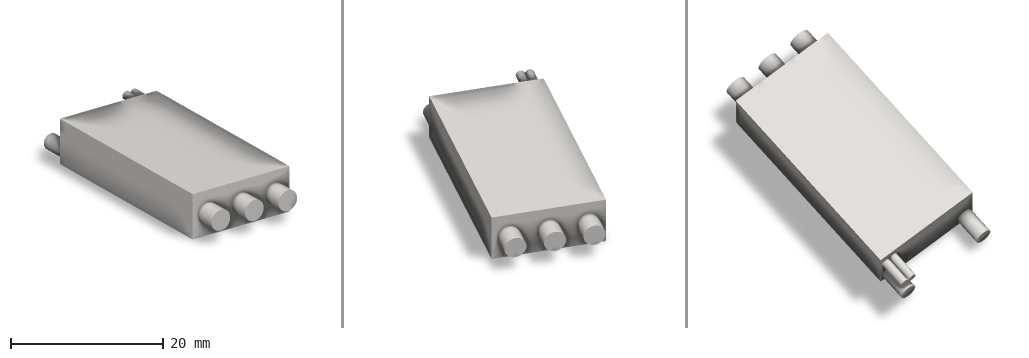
import cadquery as cq

overall_length = 37.0
left_pin_length = 4.0
right_pin_length = 3.0
body_length = overall_length - left_pin_length - right_pin_length
body_width = 15.6
body_height = 6.5

right_pin_diameter = 3.0
right_pin_pitch = 5.4

large_pin_diameter = 2.33
large_pin_offset = 6.35
large_pin_height = 1.45
large_pin_z = large_pin_height - body_height / 2

small_pin_diameter = 1.22
small_pin_pitch = 1.25
small_pin_pair_y = 6.35
small_pin_depth_below_top = 1.55
small_pin_z = body_height / 2 - small_pin_depth_below_top


def pins(face_x, length, diameter, centres):
    """Round pins along X; a negative length points them towards -X."""
    return cq.Workplane("YZ", origin=(face_x, 0, 0)).pushPoints(centres).circle(diameter / 2).extrude(length)


body = cq.Workplane("XY").box(body_length, body_width, body_height)

right_centres = [(row * right_pin_pitch, 0) for row in (-1, 0, 1)]
large_centres = [(side * large_pin_offset, large_pin_z) for side in (-1, 1)]
small_centres = [(small_pin_pair_y + side * small_pin_pitch / 2, small_pin_z) for side in (-1, 1)]

right_face_x = body_length / 2
left_face_x = -body_length / 2

result = (
    body
    .union(pins(right_face_x, right_pin_length, right_pin_diameter, right_centres))
    .union(pins(left_face_x, -left_pin_length, large_pin_diameter, large_centres))
    .union(pins(left_face_x, -left_pin_length, small_pin_diameter, small_centres))
)